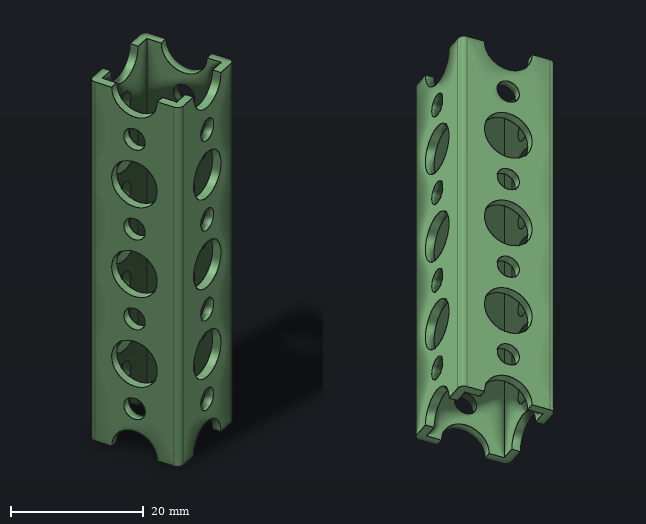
import cadquery as cq

length = 64.0
width = 16.0
wall = 1.5
corner_radius = 1.0
large_hole_diameter = 8.0
small_hole_diameter = 3.7
bay_count = 4

pitch = length / bay_count
bore = width - 2 * wall
large_hole_heights = [i * pitch for i in range(bay_count + 1)]
small_hole_heights = [(i + 0.5) * pitch for i in range(bay_count)]


def square_tube():
    """Upright tube with rounded outer edges and a sharp-cornered bore."""
    outside = cq.Workplane("XY").rect(width, width).extrude(length).edges("|Z").fillet(corner_radius)
    inside = cq.Workplane("XY").rect(bore, bore).extrude(length)
    return outside.cut(inside)


def hole_row(plane, diameter, heights):
    """Cylinders through both opposite walls, normal to the given plane."""
    centres = [(0, height) for height in heights]
    return cq.Workplane(plane).pushPoints(centres).circle(diameter / 2).extrude(width, both=True)


result = square_tube()
for plane in ("XZ", "YZ"):
    result = result.cut(hole_row(plane, large_hole_diameter, large_hole_heights))
    result = result.cut(hole_row(plane, small_hole_diameter, small_hole_heights))